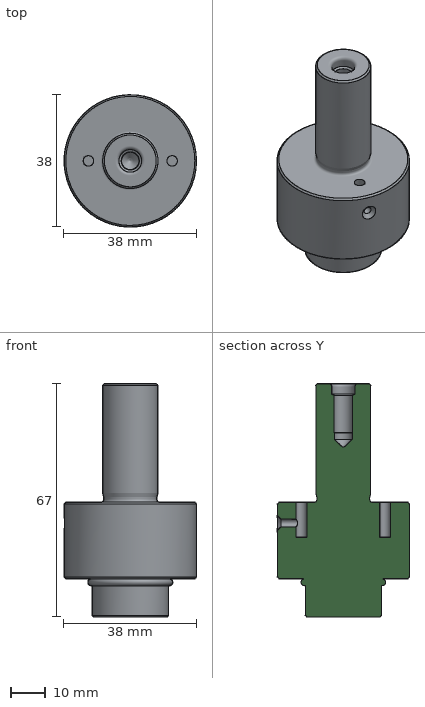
import cadquery as cq
import math

BODY_DIA = 38.0
SHANK_DIA = 15.88
SPIGOT_DIA = 22.0

SPIGOT_LENGTH = 11.0
BODY_LENGTH = 22.0
SHANK_LENGTH = 34.0
BODY_BOTTOM = SPIGOT_LENGTH
BODY_TOP = BODY_BOTTOM + BODY_LENGTH
SHANK_TOP = BODY_TOP + SHANK_LENGTH

BODY_CHAMFER = 0.5
SPIGOT_CHAMFER = 0.5
SHANK_CHAMFER = 0.5

NECK_DIA = 15.28
RELIEF_WIDTH = 2.5
RELIEF_ANGLE = 15.0
ROOT_RADIUS = 0.8

RING_SECTION_DIA = 2.0
RING_OUTER_DIA = 24.4

CENTRE_MOUTH_DIA = 8.5
CENTRE_BORE_DIA = 6.5
CENTRE_BORE_DEPTH = 3.0
THREAD_BORE_DIA = 5.2
THREAD_BORE_DEPTH = 14.0
CORE_DIA = 5.0
CORE_DEPTH = 16.0
TIP_DIA = 1.5
STEP_ANGLE = 120.0
THREAD_BORE_END_ANGLE = 90.0
BOTTOM_CONE_ANGLE = 90.0
TIP_ANGLE = 120.0

PIN_HOLE_DIA = 3.0
PIN_HOLE_OFFSET = 12.0
PIN_HOLE_DEPTH = 10.0

SIDE_HOLE_DIA = 2.11
SIDE_SINK_DIA = 4.4
SIDE_SINK_ANGLE = 90.0
SIDE_HOLE_BELOW_TOP = 6.0


def cone_height(large_dia, small_dia, included_angle):
    """Axial height of a cone frustum between two diameters."""
    return (large_dia - small_dia) / 2 / math.tan(math.radians(included_angle / 2))


def make_turned_blank():
    """Revolve spigot, round-edged ring, body and shank, with the relief groove at the shank root."""
    body_r = BODY_DIA / 2
    shank_r = SHANK_DIA / 2
    spigot_r = SPIGOT_DIA / 2
    neck_r = NECK_DIA / 2
    ring_section_r = RING_SECTION_DIA / 2
    ring_r = RING_OUTER_DIA / 2 - ring_section_r
    relief_top = BODY_TOP + RELIEF_WIDTH
    neck_top = relief_top - (shank_r - neck_r) / math.tan(math.radians(RELIEF_ANGLE))
    arc_inset = ROOT_RADIUS * (1 - math.sqrt(0.5))
    profile = (
        cq.Workplane("XZ")
        .moveTo(0, 0)
        .lineTo(spigot_r - SPIGOT_CHAMFER, 0)
        .lineTo(spigot_r, SPIGOT_CHAMFER)
        .lineTo(spigot_r, BODY_BOTTOM - RING_SECTION_DIA)
        .lineTo(ring_r, BODY_BOTTOM - RING_SECTION_DIA)
        .threePointArc((RING_OUTER_DIA / 2, BODY_BOTTOM - ring_section_r), (ring_r, BODY_BOTTOM))
        .lineTo(body_r - BODY_CHAMFER, BODY_BOTTOM)
        .lineTo(body_r, BODY_BOTTOM + BODY_CHAMFER)
        .lineTo(body_r, BODY_TOP - BODY_CHAMFER)
        .lineTo(body_r - BODY_CHAMFER, BODY_TOP)
        .lineTo(neck_r + ROOT_RADIUS, BODY_TOP)
        .threePointArc((neck_r + arc_inset, BODY_TOP + arc_inset), (neck_r, BODY_TOP + ROOT_RADIUS))
        .lineTo(neck_r, neck_top)
        .lineTo(shank_r, relief_top)
        .lineTo(shank_r, SHANK_TOP - SHANK_CHAMFER)
        .lineTo(shank_r - SHANK_CHAMFER, SHANK_TOP)
        .lineTo(0, SHANK_TOP)
        .close()
    )
    return profile.revolve(360, (0, 0, 0), (0, 1, 0))


def make_centre_hole():
    """Stepped centre hole with a rounded mouth and a conical bottom."""
    mouth_r = CENTRE_MOUTH_DIA / 2
    bore_r = CENTRE_BORE_DIA / 2
    thread_r = THREAD_BORE_DIA / 2
    core_r = CORE_DIA / 2
    tip_r = TIP_DIA / 2
    mouth_radius = mouth_r - bore_r
    arc_inset = mouth_radius * (1 - math.sqrt(0.5))
    bore_bottom = SHANK_TOP - CENTRE_BORE_DEPTH
    step_bottom = bore_bottom - cone_height(CENTRE_BORE_DIA, THREAD_BORE_DIA, STEP_ANGLE)
    thread_bottom = SHANK_TOP - THREAD_BORE_DEPTH
    core_top = thread_bottom - cone_height(THREAD_BORE_DIA, CORE_DIA, THREAD_BORE_END_ANGLE)
    core_bottom = SHANK_TOP - CORE_DEPTH
    cone_bottom = core_bottom - cone_height(CORE_DIA, TIP_DIA, BOTTOM_CONE_ANGLE)
    profile = (
        cq.Workplane("XZ")
        .moveTo(0, SHANK_TOP)
        .lineTo(mouth_r, SHANK_TOP)
        .threePointArc((bore_r + arc_inset, SHANK_TOP - arc_inset), (bore_r, SHANK_TOP - mouth_radius))
        .lineTo(bore_r, bore_bottom)
        .lineTo(thread_r, step_bottom)
        .lineTo(thread_r, thread_bottom)
        .lineTo(core_r, core_top)
        .lineTo(core_r, core_bottom)
        .lineTo(tip_r, cone_bottom)
        .lineTo(0, cone_bottom - cone_height(TIP_DIA, 0, TIP_ANGLE))
        .close()
    )
    return profile.revolve(360, (0, 0, 0), (0, 1, 0))


def make_pin_holes():
    """Two blind vertical holes on either side of the shank."""
    plane = cq.Workplane("XY", origin=(0, 0, BODY_TOP))
    centres = [(side * PIN_HOLE_OFFSET, 0) for side in (-1, 1)]
    return plane.pushPoints(centres).circle(PIN_HOLE_DIA / 2).extrude(-PIN_HOLE_DEPTH)


def make_side_hole():
    """Radial hole with a countersunk mouth, running into the nearer vertical hole."""
    body_r = BODY_DIA / 2
    sink_depth = cone_height(SIDE_SINK_DIA, SIDE_HOLE_DIA, SIDE_SINK_ANGLE)
    hole_end = -PIN_HOLE_OFFSET
    profile = (
        cq.Workplane("XY")
        .moveTo(-body_r, 0)
        .lineTo(-body_r, SIDE_SINK_DIA / 2)
        .lineTo(-body_r + sink_depth, SIDE_HOLE_DIA / 2)
        .lineTo(hole_end, SIDE_HOLE_DIA / 2)
        .lineTo(hole_end, 0)
        .close()
    )
    cutter = profile.revolve(360, (0, 0, 0), (1, 0, 0))
    return cutter.translate((0, 0, BODY_TOP - SIDE_HOLE_BELOW_TOP))


result = (
    make_turned_blank()
    .cut(make_centre_hole())
    .cut(make_pin_holes())
    .cut(make_side_hole())
)